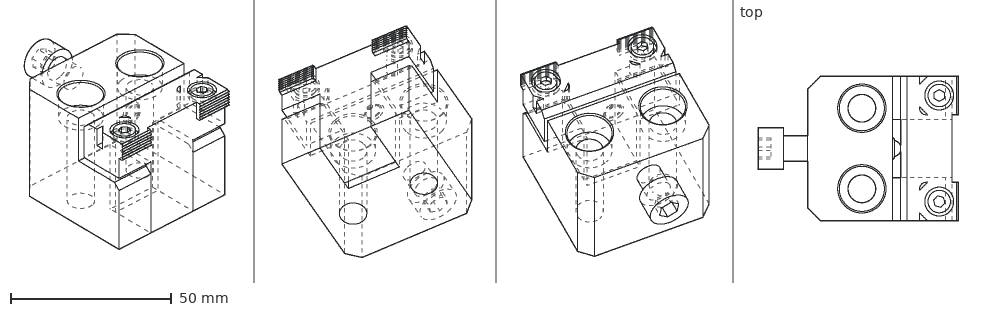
import cadquery as cq
import math


TOTAL_LENGTH = 62.3
BLOCK_LENGTH = 44.85
WIDTH = 45.0
HEIGHT = 40.0
CORNER_CHAMFER = 4.0

STEP_X = 26.35
STEP_Z = 24.05
STEP_END_CHAMFER = 2.05
SLOT_WIDTH = 18.0

MOUNT_X = 16.8
MOUNT_Y = 12.5
MOUNT_DIAMETER = 8.55
COUNTERBORE_DIAMETER = 14.0
COUNTERBORE_DEPTH = 9.0
COUNTERBORE_CHAMFER = 0.5

SCREW_Z = 31.95
SCREW_PROTRUSION = 15.45
HEAD_DIAMETER = 13.0
HEAD_LENGTH = 8.0
SHANK_DIAMETER = 8.0
SOCKET_WIDTH = 6.0
SOCKET_DEPTH = 4.0
SOCKET_TURN = 9.0
THREAD_END_RADIUS = 3.0
THREAD_PROTRUSION = 0.55
THREAD_END_X = STEP_X + THREAD_PROTRUSION
BALL_RADIUS = 2.55
BALL_SINK = 0.45
BALL_X = THREAD_END_X - BALL_SINK

JAW_X = 28.85
JAW_Z = 26.55
JAW_CHAMFER = 2.05

INSERT_WIDTH = 12.0
INSERT_HEIGHT = 6.1
INSERT_TIP_X = TOTAL_LENGTH - SCREW_PROTRUSION
INSERT_X = 34.75
INSERT_CORNER = 2.5
SEAT_CORNER_RADIUS = 2.05
TOOTH_COUNT = 6
TOOTH_PITCH = 1.0
TOOTH_DEPTH = 0.7
TOOTH_ROOT_X = INSERT_TIP_X - TOOTH_DEPTH
INSERT_Y = (WIDTH - INSERT_WIDTH) / 2

INSERT_SCREW_X = 40.85
INSERT_BORE_DIAMETER = 9.0
INSERT_SCREW_DIAMETER = 7.0
INSERT_RING_DEPTH = 2.0
INSERT_SOCKET_WIDTH = 3.2
INSERT_SOCKET_DEPTH = 2.0
INSERT_SOCKET_TURNS = {-1: -15.0, 1: 30.0}


def box(x_min, x_max, y_min, y_max, z_min, z_max):
    """Block between the given limits."""
    size = (x_max - x_min, y_max - y_min, z_max - z_min)
    return cq.Workplane("XY").box(*size, centered=False).translate((x_min, y_min, z_min))


def hexagon_diameter(width_across_flats):
    return width_across_flats / math.cos(math.radians(30))


def mounting_hole(side):
    """Cutter for one counterbored mounting hole with a chamfered mouth."""
    plane = cq.Workplane("XY", origin=(MOUNT_X, side * MOUNT_Y, 0))
    floor = HEIGHT - COUNTERBORE_DEPTH
    bore = plane.circle(MOUNT_DIAMETER / 2).extrude(HEIGHT)
    counterbore = plane.workplane(offset=floor).circle(COUNTERBORE_DIAMETER / 2).extrude(COUNTERBORE_DEPTH)
    mouth = (
        plane.workplane(offset=HEIGHT - COUNTERBORE_CHAMFER)
        .circle(COUNTERBORE_DIAMETER / 2)
        .workplane(offset=COUNTERBORE_CHAMFER)
        .circle(COUNTERBORE_DIAMETER / 2 + COUNTERBORE_CHAMFER)
        .loft()
    )
    return bore.union(counterbore).union(mouth)


def thrust_screw():
    """Turned thrust screw with a socket head, a tapered thread end and a ball that is flat at the jaw."""
    head_x = -SCREW_PROTRUSION
    head_radius = HEAD_DIAMETER / 2
    shank_radius = SHANK_DIAMETER / 2
    taper_x = THREAD_END_X - (shank_radius - THREAD_END_RADIUS)
    ball_start_radius = math.sqrt(BALL_RADIUS**2 - (THREAD_END_X - BALL_X)**2)
    ball_flat_radius = math.sqrt(BALL_RADIUS**2 - (JAW_X - BALL_X)**2)
    ball_middle = BALL_RADIUS * math.sqrt(0.5)

    turned = (
        cq.Workplane("XY")
        .moveTo(head_x, 0)
        .lineTo(head_x, head_radius)
        .lineTo(head_x + HEAD_LENGTH, head_radius)
        .lineTo(head_x + HEAD_LENGTH, shank_radius)
        .lineTo(taper_x, shank_radius)
        .lineTo(THREAD_END_X, THREAD_END_RADIUS)
        .lineTo(THREAD_END_X, ball_start_radius)
        .threePointArc((BALL_X + ball_middle, ball_middle), (JAW_X, ball_flat_radius))
        .lineTo(JAW_X, 0)
        .close()
        .revolve(360, (0, 0, 0), (1, 0, 0))
        .translate((0, 0, SCREW_Z))
    )
    socket = (
        cq.Workplane("YZ", origin=(head_x, 0, SCREW_Z))
        .transformed(rotate=(0, 0, 90 + SOCKET_TURN))
        .polygon(6, hexagon_diameter(SOCKET_WIDTH))
        .extrude(SOCKET_DEPTH)
    )
    return turned.cut(socket)


def make_block():
    """Clamp block with its slot and mounting holes, joined to the thrust screw."""
    half = WIDTH / 2
    block = box(0, BLOCK_LENGTH, -half, half, 0, HEIGHT)
    block = block.edges("|Z and <X").chamfer(CORNER_CHAMFER)
    block = block.cut(box(STEP_X, BLOCK_LENGTH, -half, half, STEP_Z, HEIGHT))
    seat_end = cq.selectors.NearestToPointSelector((BLOCK_LENGTH, 0, STEP_Z))
    block = block.edges(seat_end).chamfer(STEP_END_CHAMFER)
    block = block.cut(box(STEP_X, BLOCK_LENGTH, -SLOT_WIDTH / 2, SLOT_WIDTH / 2, 0, STEP_Z))
    for side in (-1, 1):
        block = block.cut(mounting_hole(side))
    return block.union(thrust_screw())


def insert_seat(side):
    """Cutter for the corner seat of one insert, rounded at its inner corner."""
    inner_y = INSERT_Y - INSERT_WIDTH / 2
    seat = box(INSERT_X, BLOCK_LENGTH, inner_y, WIDTH / 2, HEIGHT - INSERT_HEIGHT, HEIGHT)
    seat = seat.edges("|Z and <X and <Y").fillet(SEAT_CORNER_RADIUS)
    return seat if side > 0 else seat.mirror("XZ")


def grip_insert(side):
    """Insert with chamfered back corners, toothed front face and screw."""
    inner_y = INSERT_Y - INSERT_WIDTH / 2
    plate = box(INSERT_X, TOOTH_ROOT_X, inner_y, WIDTH / 2, HEIGHT - INSERT_HEIGHT, HEIGHT)
    plate = plate.edges("|Z and <X").chamfer(INSERT_CORNER)

    tooth_z = HEIGHT - (INSERT_HEIGHT - TOOTH_COUNT * TOOTH_PITCH) / 2
    outline = [(TOOTH_ROOT_X, tooth_z)]
    for tooth in range(TOOTH_COUNT):
        outline.append((INSERT_TIP_X, tooth_z - (tooth + 0.5) * TOOTH_PITCH))
        outline.append((TOOTH_ROOT_X, tooth_z - (tooth + 1) * TOOTH_PITCH))
    outline.append((INSERT_X + INSERT_CORNER, tooth_z - TOOTH_COUNT * TOOTH_PITCH))
    outline.append((INSERT_X + INSERT_CORNER, tooth_z))
    teeth = (
        cq.Workplane("XZ", origin=(0, WIDTH / 2, 0))
        .polyline(outline)
        .close()
        .extrude(INSERT_WIDTH)
    )
    insert = plate.union(teeth)
    if side < 0:
        insert = insert.mirror("XZ")

    top = cq.Workplane("XY", origin=(INSERT_SCREW_X, side * INSERT_Y, HEIGHT))
    ring = top.circle(INSERT_BORE_DIAMETER / 2).circle(INSERT_SCREW_DIAMETER / 2).extrude(-INSERT_RING_DEPTH)
    socket = (
        top.transformed(rotate=(0, 0, INSERT_SOCKET_TURNS[side]))
        .polygon(6, hexagon_diameter(INSERT_SOCKET_WIDTH))
        .extrude(-INSERT_SOCKET_DEPTH)
    )
    return insert.cut(ring).cut(socket)


def make_jaw():
    """Jaw with its guide tongue, joined to both grip inserts."""
    half = WIDTH / 2
    jaw = box(JAW_X, BLOCK_LENGTH, -half, half, JAW_Z, HEIGHT)
    jaw = jaw.edges("|Y and <X and >Z").chamfer(JAW_CHAMFER)
    jaw = jaw.union(box(JAW_X, BLOCK_LENGTH, -SLOT_WIDTH / 2, SLOT_WIDTH / 2, 0, JAW_Z))
    for side in (-1, 1):
        jaw = jaw.cut(insert_seat(side)).union(grip_insert(side))
    return jaw


block = make_block()
jaw = make_jaw()
result = cq.Compound.makeCompound([block.val(), jaw.val()])